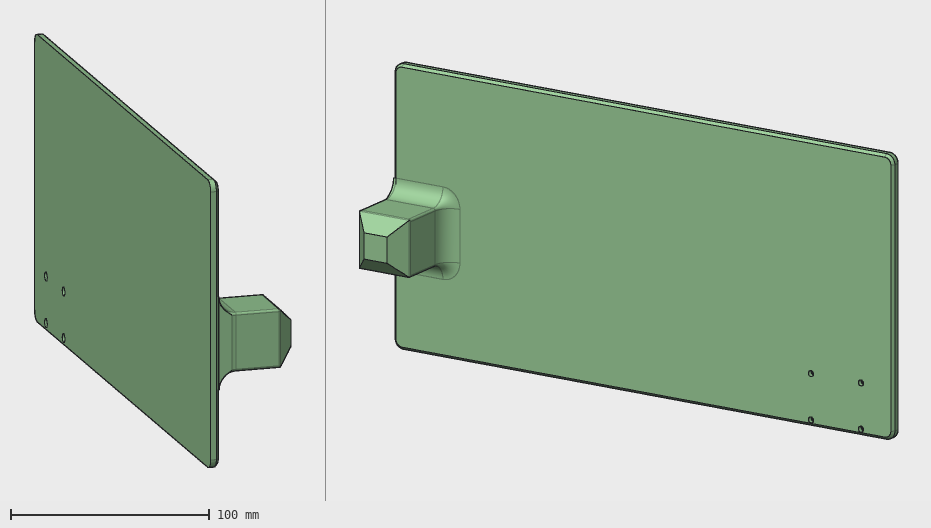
import cadquery as cq
plate_length = 300.0
plate_height = 150.0
plate_thickness = 4.5
corner_radius = 5.0
rim_chamfer = 1.5

total_depth = 45.0
post_width = 30.5
post_right_gap = 0.3
post_center_x = plate_length - post_right_gap - post_width / 2
post_center_z = 65.5
post_edge_radius = 1.2
post_tip_chamfer = 8.5
post_root_radius = 9.0

hole_diameter = 3.0
recess_diameter = 4.5
recess_depth = 1.8
hole_left = 19.5
hole_bottom = 3.3
hole_spacing_x = 30.0
hole_spacing_z = 24.3


def block(x_min, x_max, y_min, y_max, z_min, z_max):
    """Axis-aligned block between the given limits."""
    size = (x_max - x_min, y_max - y_min, z_max - z_min)
    return cq.Workplane("XY").box(*size, centered=False).translate((x_min, y_min, z_min))


def make_plate():
    plate = block(0, plate_length, 0, plate_thickness, 0, plate_height)
    plate = plate.edges("|Y").fillet(corner_radius)
    return plate.faces(">Y").chamfer(rim_chamfer)


def make_post():
    """Post with a pyramid tip and a flared root, trimmed at the plate's right edge."""
    half = post_width / 2
    post = block(
        post_center_x - half, post_center_x + half,
        0, total_depth,
        post_center_z - half, post_center_z + half,
    )
    post = post.faces(">Y").chamfer(post_tip_chamfer)
    shoulder_edges = post.faces("<X or >X or <Z or >Z").edges("not <Y")
    post = shoulder_edges.fillet(post_edge_radius)

    reach = post_width
    slab = block(
        post_center_x - reach, post_center_x + reach,
        0, plate_thickness,
        post_center_z - reach, post_center_z + reach,
    )
    root_edges = cq.selectors.BoxSelector(
        (post_center_x - 0.6 * post_width, plate_thickness / 2,
         post_center_z - 0.6 * post_width),
        (post_center_x + 0.6 * post_width, 1.5 * plate_thickness,
         post_center_z + 0.6 * post_width),
    )
    flared = slab.union(post).edges(root_edges).edges("#Y").fillet(post_root_radius)
    return flared.intersect(block(0, plate_length, plate_thickness, total_depth, 0, plate_height))


def make_screw_holes():
    tools = cq.Workplane("XY")
    for column in range(2):
        for row in range(2):
            x = hole_left + column * hole_spacing_x
            z = hole_bottom + row * hole_spacing_z
            start = cq.Workplane("XZ", origin=(x, 0, z))
            tools = tools.union(start.circle(hole_diameter / 2).extrude(-plate_thickness))
            tools = tools.union(start.circle(recess_diameter / 2).extrude(-recess_depth))
    return tools


result = make_plate().union(make_post()).cut(make_screw_holes())